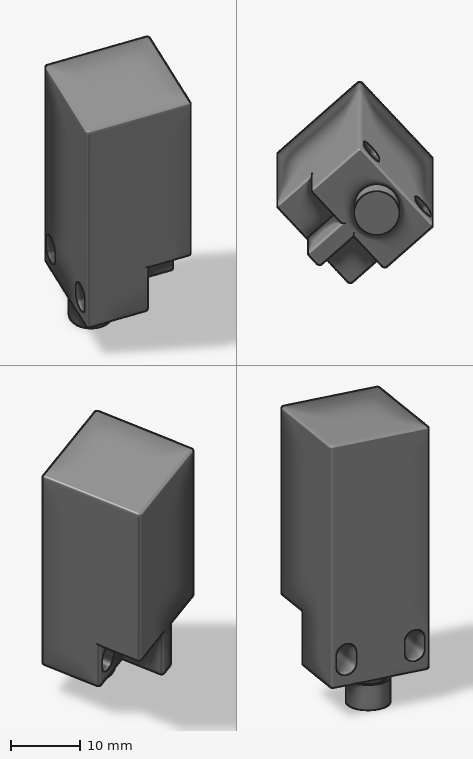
import cadquery as cq

width = 16.0
depth = 16.5
total_height = 43.5
edge_radius = 0.52

connector_length = 5.0
neck_length = 1.0
neck_diameter = 5.6
collar_diameter = 6.52
connector_from_front = 4.0

pocket_depth = 6.6
pocket_height = 8.5
pocket_length = 6.75

slot_width = 3.3
slot_height = 4.9
slot_spacing = 11.05
slot_from_bottom = 4.3

body_bottom = connector_length
body_height = total_height - connector_length
front_y = -depth / 2
rear_y = depth / 2
connector_y = front_y + connector_from_front
collar_length = connector_length - neck_length


def housing():
    """Rectangular housing with both lower rear corners cut away, all edges rounded."""
    body = cq.Workplane("XY").workplane(offset=body_bottom).box(
        width, depth, body_height, centered=(True, True, False)
    )
    for side in (-1, 1):
        pocket = cq.Workplane("XY").box(
            pocket_depth, pocket_length, pocket_height, centered=(True, True, False)
        )
        pocket_x = side * (width - pocket_depth) / 2
        pocket_y = rear_y - pocket_length / 2
        body = body.cut(pocket.translate((pocket_x, pocket_y, body_bottom)))

    web_x = width / 2 - pocket_depth
    step_y = rear_y - pocket_length
    step_z = body_bottom + pocket_height
    tolerance = 0.005

    def is_outer(edge):
        center = edge.Center()
        on_web = abs(abs(center.x) - web_x) < tolerance
        on_step = abs(center.y - step_y) < tolerance
        on_ceiling = abs(center.z - step_z) < tolerance
        return on_web + on_step + on_ceiling < 2

    outer_edges = [edge for edge in body.edges().vals() if is_outer(edge)]
    return body.newObject(outer_edges).fillet(edge_radius)


def mounting_slots():
    """Pair of upright slots running from front to rear below the pocket ceilings."""
    slot_z = body_bottom + slot_from_bottom
    return (
        cq.Workplane("XZ", origin=(0, front_y, slot_z))
        .pushPoints([(-slot_spacing / 2, 0), (slot_spacing / 2, 0)])
        .slot2D(slot_height, slot_width, 90)
        .extrude(-depth)
    )


def connector():
    """Collar joined to the housing by a narrower neck."""
    return (
        cq.Workplane("XY", origin=(0, connector_y, 0))
        .circle(collar_diameter / 2)
        .extrude(collar_length)
        .faces(">Z")
        .workplane()
        .circle(neck_diameter / 2)
        .extrude(neck_length)
    )


result = housing().cut(mounting_slots()).union(connector())